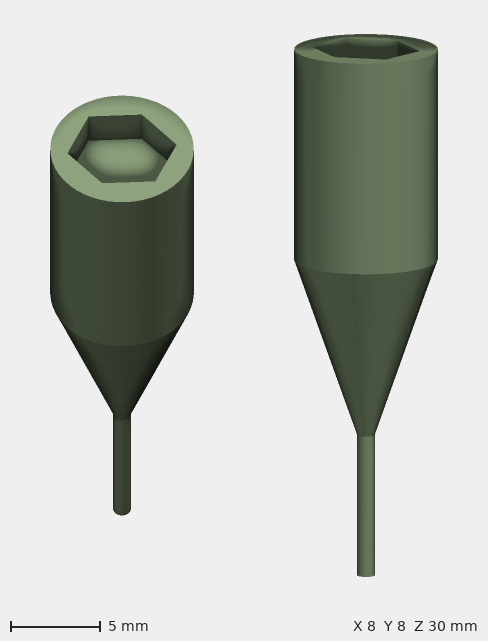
import cadquery as cq

total_length = 30.0
body_diameter = 8.0
body_length = 12.0
pin_diameter = 1.0
pin_length = 8.0

socket_width = 5.35
socket_corner_span = 5.6
socket_flat_length = 3.0
socket_depth = 2.0

body_radius = body_diameter / 2
pin_radius = pin_diameter / 2
body_bottom = total_length - body_length


def make_turned_body():
    """Cylindrical body tapering through a cone to a thin pin."""
    return (
        cq.Workplane("XZ")
        .lineTo(pin_radius, 0)
        .lineTo(pin_radius, pin_length)
        .lineTo(body_radius, body_bottom)
        .lineTo(body_radius, total_length)
        .lineTo(0, total_length)
        .close()
        .revolve(360, (0, 0, 0), (0, 1, 0))
    )


def make_socket():
    """Blind six-sided pocket with two flats parallel to Y."""
    half_width = socket_width / 2
    half_span = socket_corner_span / 2
    half_flat = socket_flat_length / 2
    corners = [
        (half_width, half_flat),
        (0, half_span),
        (-half_width, half_flat),
        (-half_width, -half_flat),
        (0, -half_span),
        (half_width, -half_flat),
    ]
    return (
        cq.Workplane("XY")
        .workplane(offset=total_length - socket_depth)
        .polyline(corners)
        .close()
        .extrude(socket_depth)
    )


result = make_turned_body().cut(make_socket())